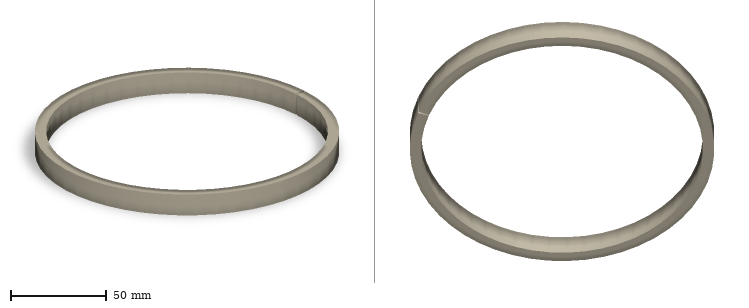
import cadquery as cq

outer_diameter = 160.0
inner_diameter = 148.0
height = 12.0
gap_width = 1.0

outer_radius = outer_diameter / 2
inner_radius = inner_diameter / 2


def make_band():
    """Closed ring, centred on the Z axis and standing on the XY plane."""
    return cq.Workplane("XY").circle(outer_radius).circle(inner_radius).extrude(height)


def make_gap():
    """Parallel-sided cutter that passes through the wall on the +Y side only."""
    cutter = cq.Workplane("XY").center(0, outer_radius)
    return cutter.rect(gap_width, outer_diameter).extrude(height)


result = make_band().cut(make_gap())